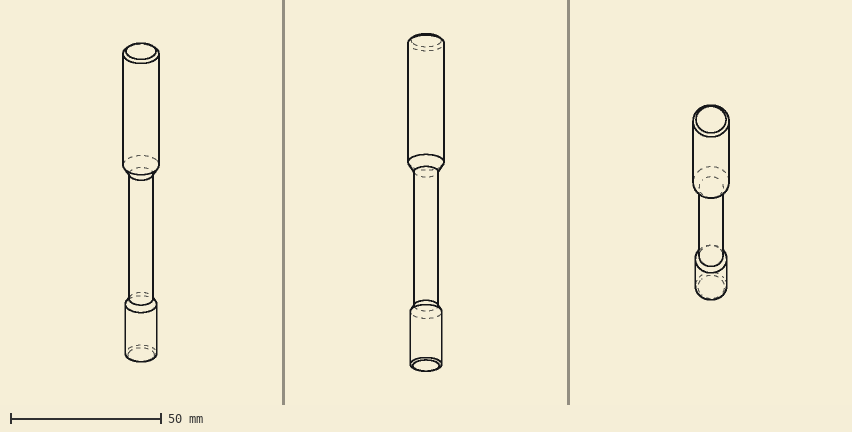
import cadquery as cq
import math

total_length = 120.0

shank_diameter = 12.0
shank_length = 45.0
shank_chamfer = 1.0

neck_diameter = 8.0

head_diameter = 10.5
head_length = 20.0
tip_chamfer_height = 0.5
tip_chamfer_angle = math.radians(60.0)

cone_half_angle = math.radians(30.0)

shank_radius = shank_diameter / 2
neck_radius = neck_diameter / 2
head_radius = head_diameter / 2
tip_chamfer_width = tip_chamfer_height * math.tan(tip_chamfer_angle)


def cone_height(large_radius):
    """Axial length of the cone from the neck out to the given radius."""
    return (large_radius - neck_radius) / math.tan(cone_half_angle)


shank_bottom = total_length - shank_length
neck_top = shank_bottom - cone_height(shank_radius)
neck_bottom = head_length + cone_height(head_radius)

half_section = (
    cq.Workplane("XZ")
    .moveTo(0, 0)
    .lineTo(head_radius - tip_chamfer_width, 0)
    .lineTo(head_radius, tip_chamfer_height)
    .lineTo(head_radius, head_length)
    .lineTo(neck_radius, neck_bottom)
    .lineTo(neck_radius, neck_top)
    .lineTo(shank_radius, shank_bottom)
    .lineTo(shank_radius, total_length - shank_chamfer)
    .lineTo(shank_radius - shank_chamfer, total_length)
    .lineTo(0, total_length)
    .close()
)

result = half_section.revolve(360, (0, 0, 0), (0, 1, 0))